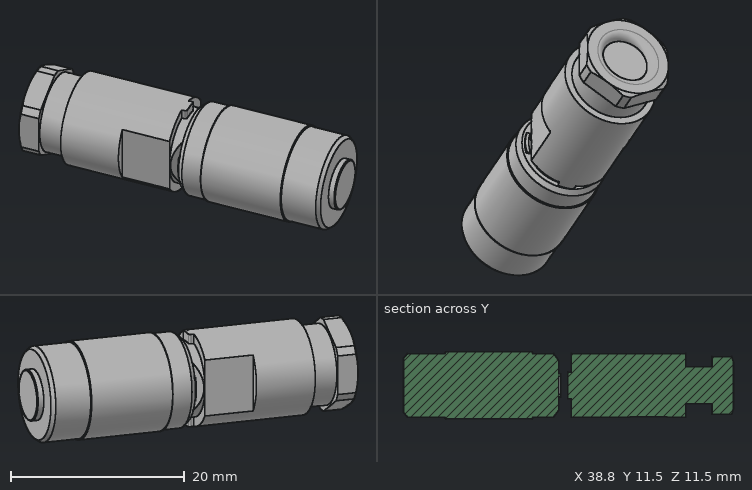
import cadquery as cq
import math

length = 38.8

nut_end = 2.52
body_start = 5.5
flat_start = 12.75
body_end = 18.7
core_bevel_start = 18.8
sleeve_start = 20.1
grip_start = 23.1
grip_end = 33.2
sleeve_end = 38.0

nut_corner_diameter = 11.0
neck_diameter = 9.5
body_diameter = 11.2
grip_diameter = 11.5
plug_diameter = 5.98

nut_across_flats = 10.0
nut_chamfer_length = 0.27

entry_floor_diameter = 5.5
entry_mouth_radius = 1.0

flat_spacing = 9.0
core_bevel_angle = 45.0

key_width = 2.0
key_length = 0.62
key_corner_radius = 0.25

latch_height = 2.7
latch_length = 0.25
latch_inner_radius = 4.35
latch_outer_radius = 4.77

sleeve_back_chamfer_length = 0.62
sleeve_back_chamfer_depth = 0.5
sleeve_front_chamfer_length = 0.45
sleeve_front_chamfer_depth = 0.35
grip_chamfer = 0.08
plug_chamfer = 0.1


def cylinder(start, end, diameter):
    """Round bar along X between two stations."""
    return cq.Workplane("YZ").workplane(offset=start).circle(diameter / 2).extrude(end - start)


def box(x_range, y_range, z_range):
    """Axis-aligned block given by its limits."""
    limits = (x_range, y_range, z_range)
    sizes = [high - low for low, high in limits]
    return cq.Workplane("XY").box(*sizes, centered=False).translate([low for low, high in limits])


def make_nut():
    """Hexagon with two flats facing +-Y, rounded corners and a chamfered back face."""
    point_to_point = nut_across_flats / math.cos(math.radians(30))
    hexagon = (
        cq.Workplane("YZ")
        .polygon(6, point_to_point)
        .extrude(nut_end)
        .rotate((0, 0, 0), (1, 0, 0), 30)
    )
    chamfer_depth = (nut_corner_diameter - nut_across_flats) / 2
    envelope = (
        cylinder(0, nut_end, nut_corner_diameter)
        .faces("<X")
        .edges()
        .chamfer(nut_chamfer_length, chamfer_depth)
    )
    return hexagon.intersect(envelope)


def make_entry():
    """Shallow cable recess with a flat floor and a rounded mouth, as a cutting tool."""
    floor_radius = entry_floor_diameter / 2
    mouth_radius = floor_radius + entry_mouth_radius
    arc_offset = entry_mouth_radius * math.sqrt(0.5)
    return (
        cq.Workplane("XY")
        .lineTo(0, mouth_radius)
        .threePointArc(
            (entry_mouth_radius - arc_offset, mouth_radius - arc_offset),
            (entry_mouth_radius, floor_radius),
        )
        .lineTo(entry_mouth_radius, 0)
        .close()
        .revolve(360, (0, 0, 0), (1, 0, 0))
    )


def make_body():
    """Neck and cylindrical body with a pair of wrench flats facing +-Y."""
    neck = cylinder(nut_end, body_start, neck_diameter)
    round_part = cylinder(body_start, flat_start, body_diameter)
    flat_part = cylinder(flat_start, body_end, body_diameter).intersect(
        box(
            (flat_start, body_end),
            (-flat_spacing / 2, flat_spacing / 2),
            (-body_diameter / 2, body_diameter / 2),
        )
    )
    return neck.union(round_part).union(flat_part)


def make_core():
    """Core between body and sleeve, bevelled on its +-Y sides."""
    half_width = flat_spacing / 2
    bevel_length = sleeve_start - core_bevel_start
    tip_half_width = half_width - bevel_length * math.tan(math.radians(core_bevel_angle))
    bevelled_block = (
        cq.Workplane("XY")
        .polyline(
            [
                (body_end, -half_width),
                (core_bevel_start, -half_width),
                (sleeve_start, -tip_half_width),
                (sleeve_start, tip_half_width),
                (core_bevel_start, half_width),
                (body_end, half_width),
            ]
        )
        .close()
        .extrude(half_width, both=True)
    )
    return cylinder(body_end, sleeve_start, flat_spacing).intersect(bevelled_block)


def make_keys():
    """Rounded keys standing on the core at +Z and -Z."""
    key_end = body_end + key_length
    bar = (
        box(
            (body_end, key_end),
            (-key_width / 2, key_width / 2),
            (-body_diameter / 2, body_diameter / 2),
        )
        .edges("|Z and >X")
        .fillet(key_corner_radius)
    )
    return bar.intersect(cylinder(body_end, key_end, body_diameter))


def make_latches():
    """Short ring segments on the sleeve back face at +Y and -Y."""
    latch_start = sleeve_start - latch_length
    ring = cylinder(latch_start, sleeve_start, 2 * latch_outer_radius).cut(
        cylinder(latch_start, sleeve_start, 2 * latch_inner_radius)
    )
    band = box(
        (latch_start, sleeve_start),
        (-latch_outer_radius, latch_outer_radius),
        (-latch_height / 2, latch_height / 2),
    )
    return ring.intersect(band)


def make_sleeve():
    """Coupling sleeve with a raised grip and the plug face at its front."""
    barrel = (
        cylinder(sleeve_start, sleeve_end, body_diameter)
        .faces("<X")
        .edges()
        .chamfer(sleeve_back_chamfer_length, sleeve_back_chamfer_depth)
        .faces(">X")
        .edges()
        .chamfer(sleeve_front_chamfer_length, sleeve_front_chamfer_depth)
    )
    grip = cylinder(grip_start, grip_end, grip_diameter).edges().chamfer(grip_chamfer)
    plug = cylinder(sleeve_end, length, plug_diameter).faces(">X").edges().chamfer(plug_chamfer)
    return barrel.union(grip).union(plug)


result = (
    make_nut()
    .union(make_body())
    .union(make_core())
    .union(make_keys())
    .union(make_sleeve())
    .union(make_latches())
    .cut(make_entry())
)